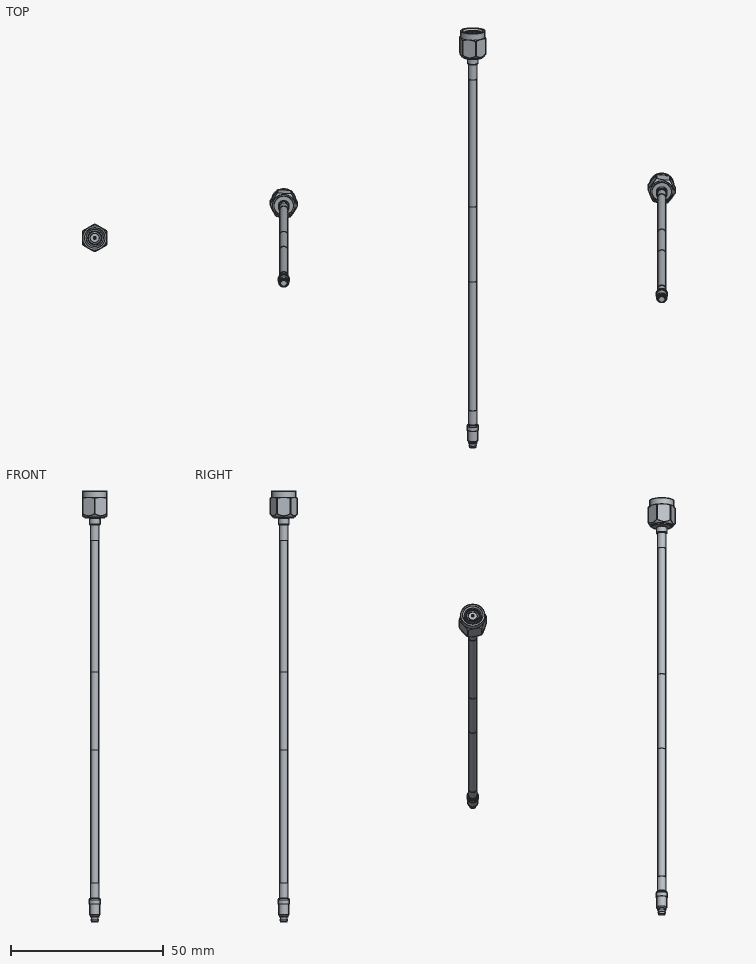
import cadquery as cq
import math

TOTAL_LENGTH = 140.97

NUT_FLATS = 7.94
NUT_CORNERS = 8.99
NUT_COLLAR_HEIGHT = 2.1
NUT_TOP_CHAMFER = 0.3
NUT_BOTTOM_CHAMFER_HEIGHT = 1.0
NUT_BOTTOM_CHAMFER_WIDTH = 0.8
NUT_HEX_HEIGHT = 6.35
NUT_BOSS_RADIUS = 3.2
NUT_BOSS_HEIGHT = 0.4
NUT_BORE_RADIUS = 2.8
NUT_MOUTH_CHAMFER = 0.55
NUT_FLOOR = 2.5

PLUG_NECK_RADIUS = 1.8
PLUG_STEM_RADIUS = 1.4
PLUG_NECK_GAP = 0.2
PLUG_NECK_LENGTH = 1.8
PLUG_SHOULDER_HEIGHT = 0.3
PLUG_FERRULE_LENGTH = 5.1
PLUG_SHELL_RADIUS = 2.3
PLUG_SHELL_WALL = 0.25
PLUG_SHELL_DROP = 0.4
PLUG_SOCKET_DEPTH = 0.4
PLUG_INSULATOR_RADIUS = 1.5
PLUG_INSULATOR_HEIGHT = 0.2
PLUG_PIN_RADIUS = 0.46
PLUG_PIN_CONE = 0.15

CABLE_RADIUS = 1.33
FERRULE_RADIUS = 1.45
SLEEVE_RADIUS = 1.38
SLEEVE_LENGTH = 25.4
SLEEVE_TOP_DROP = 59.3

TIP_LENGTH = 1.5
TIP_NECK_RADIUS = 1.1
TIP_BEAD_RADIUS = 1.2
TIP_BEAD_LEVEL = 0.6
TIP_NECK_LEVEL = 0.9
TIP_END_RADIUS = 1.05
BARREL_RADIUS = 1.69
BARREL_NOSE_RADIUS = 1.35
BARREL_NOSE_LENGTH = 0.4
BARREL_CONE_LENGTH = 0.45
BARREL_LENGTH = 4.3
COLLAR_RADIUS = 1.85
COLLAR_LENGTH = 1.75
COLLAR_TOP_RADIUS = 1.72
COLLAR_CONE_LENGTH = 0.4
RELIEF_RADIUS = 1.3
RELIEF_LENGTH = 0.3
SNAP_FERRULE_LENGTH = 4.8

nut_hex_top = TOTAL_LENGTH - NUT_COLLAR_HEIGHT
nut_hex_bottom = nut_hex_top - NUT_HEX_HEIGHT
nut_bottom = nut_hex_bottom - NUT_BOSS_HEIGHT
nut_floor_top = nut_bottom + NUT_FLOOR
neck_top = nut_bottom - PLUG_NECK_GAP
neck_bottom = neck_top - PLUG_NECK_LENGTH
shoulder_bottom = neck_bottom - PLUG_SHOULDER_HEIGHT
cable_top = shoulder_bottom - PLUG_FERRULE_LENGTH
shell_top = TOTAL_LENGTH - PLUG_SHELL_DROP
sleeve_top = TOTAL_LENGTH - SLEEVE_TOP_DROP
cone_bottom = TIP_LENGTH + BARREL_NOSE_LENGTH
barrel_top = TIP_LENGTH + BARREL_LENGTH
collar_top = barrel_top + COLLAR_LENGTH
relief_top = collar_top + RELIEF_LENGTH
cable_bottom = relief_top + SNAP_FERRULE_LENGTH


def cylinder(radius, bottom, top):
    return cq.Workplane("XY").workplane(offset=bottom).circle(radius).extrude(top - bottom)


def turned(profile):
    """Solid of revolution about Z from (radius, z) points."""
    return cq.Workplane("XZ").polyline(profile).close().revolve(360, (0, 0, 0), (0, 1, 0))


def make_nut():
    hex_diameter = NUT_FLATS / math.cos(math.radians(30))
    flat_radius = NUT_FLATS / 2
    corner_radius = NUT_CORNERS / 2
    hexagon = (
        cq.Workplane("XY").workplane(offset=nut_hex_bottom)
        .transformed(rotate=(0, 0, 30)).polygon(6, hex_diameter).extrude(NUT_HEX_HEIGHT)
    )
    bottom_radius = corner_radius - NUT_BOTTOM_CHAMFER_WIDTH
    envelope = turned([
        (0, nut_hex_bottom),
        (bottom_radius, nut_hex_bottom),
        (corner_radius, nut_hex_bottom + NUT_BOTTOM_CHAMFER_HEIGHT),
        (corner_radius, nut_hex_top - NUT_TOP_CHAMFER),
        (flat_radius, nut_hex_top),
        (0, nut_hex_top),
    ])
    collar = cylinder(flat_radius, nut_hex_top, TOTAL_LENGTH)
    boss = cylinder(NUT_BOSS_RADIUS, nut_bottom, nut_hex_bottom)
    bore = turned([
        (0, nut_floor_top),
        (NUT_BORE_RADIUS, nut_floor_top),
        (NUT_BORE_RADIUS, TOTAL_LENGTH - NUT_MOUTH_CHAMFER),
        (NUT_BORE_RADIUS + NUT_MOUTH_CHAMFER, TOTAL_LENGTH),
        (0, TOTAL_LENGTH),
    ])
    stem_hole = cylinder(PLUG_STEM_RADIUS, nut_bottom, nut_floor_top)
    return hexagon.intersect(envelope).union(collar).union(boss).cut(bore).cut(stem_hole)


def make_plug_body():
    socket_radius = PLUG_SHELL_RADIUS - PLUG_SHELL_WALL
    socket_floor = shell_top - PLUG_SOCKET_DEPTH
    insulator_top = socket_floor + PLUG_INSULATOR_HEIGHT
    return turned([
        (0, cable_top),
        (FERRULE_RADIUS, cable_top),
        (FERRULE_RADIUS, shoulder_bottom),
        (PLUG_NECK_RADIUS, neck_bottom),
        (PLUG_NECK_RADIUS, neck_top),
        (PLUG_STEM_RADIUS, neck_top),
        (PLUG_STEM_RADIUS, nut_floor_top),
        (PLUG_SHELL_RADIUS, nut_floor_top),
        (PLUG_SHELL_RADIUS, shell_top),
        (socket_radius, shell_top),
        (socket_radius, socket_floor),
        (PLUG_INSULATOR_RADIUS, socket_floor),
        (PLUG_INSULATOR_RADIUS, insulator_top),
        (PLUG_PIN_RADIUS, insulator_top),
        (PLUG_PIN_RADIUS, shell_top - PLUG_PIN_CONE),
        (PLUG_PIN_RADIUS / 2, shell_top),
        (0, shell_top),
    ])


def make_cable():
    return cylinder(CABLE_RADIUS, cable_bottom, cable_top)


def make_sleeve():
    sleeve_bottom = sleeve_top - SLEEVE_LENGTH
    bore = cylinder(CABLE_RADIUS, sleeve_bottom, sleeve_top)
    return cylinder(SLEEVE_RADIUS, sleeve_bottom, sleeve_top).cut(bore)


def make_snap_plug():
    return turned([
        (0, 0),
        (TIP_END_RADIUS, 0),
        (TIP_BEAD_RADIUS, TIP_BEAD_LEVEL),
        (TIP_NECK_RADIUS, TIP_NECK_LEVEL),
        (TIP_NECK_RADIUS, TIP_LENGTH),
        (BARREL_NOSE_RADIUS, TIP_LENGTH),
        (BARREL_NOSE_RADIUS, cone_bottom),
        (BARREL_RADIUS, cone_bottom + BARREL_CONE_LENGTH),
        (BARREL_RADIUS, barrel_top),
        (COLLAR_RADIUS, barrel_top),
        (COLLAR_RADIUS, collar_top - COLLAR_CONE_LENGTH),
        (COLLAR_TOP_RADIUS, collar_top),
        (RELIEF_RADIUS, collar_top),
        (RELIEF_RADIUS, relief_top),
        (FERRULE_RADIUS, relief_top),
        (FERRULE_RADIUS, cable_bottom),
        (0, cable_bottom),
    ])


nut = make_nut()
plug_body = make_plug_body()
cable = make_cable()
sleeve = make_sleeve()
snap_plug = make_snap_plug()

result = cq.Compound.makeCompound([
    nut.val(),
    plug_body.val(),
    cable.val(),
    sleeve.val(),
    snap_plug.val(),
])